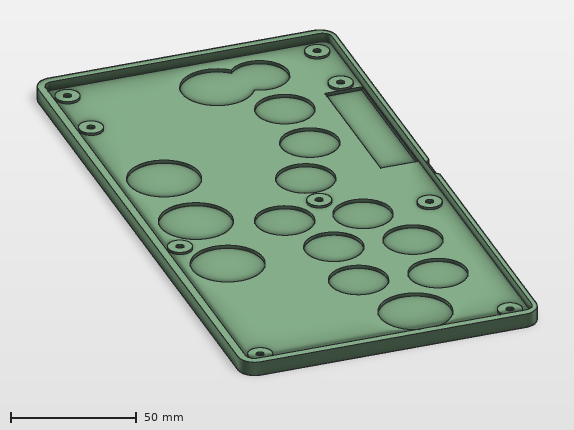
import cadquery as cq

LENGTH = 245.2
WIDTH = 126.5
HEIGHT = 6.1
CORNER_RADIUS = 7.0

WALL = 3.2
REAR_WALL = 2.0
FLOOR = 2.2

CAVITY_LENGTH = LENGTH - 2 * WALL
CAVITY_WIDTH = WIDTH - WALL - REAR_WALL
CAVITY_CENTER_Y = (WALL - REAR_WALL) / 2
CAVITY_RADIUS = CORNER_RADIUS - WALL

RECESS_DEPTH = 1.5

SMALL_BUTTON_DIAMETER = 24.0
LARGE_BUTTON_DIAMETER = 30.0

DIRECTION_ROW_Y = 25.7
SMALL_BUTTONS = [
    (-102.2, DIRECTION_ROW_Y),
    (-73.0, DIRECTION_ROW_Y),
    (-44.1, DIRECTION_ROW_Y),
    (-17.5, 14.2),
    (17.5, DIRECTION_ROW_Y),
    (44.0, 37.3),
    (72.8, 37.3),
    (11.8, -5.5),
    (38.5, 5.6),
    (67.2, 5.6),
]

THUMB_PITCH = 36.8
THUMB_ROW_Y = -38.7
LARGE_BUTTONS = [(-99.0, 6.5), (98.8, 18.1)]
LARGE_BUTTONS += [(step * THUMB_PITCH, THUMB_ROW_Y) for step in (-1, 0, 1)]

BOSS_DIAMETER = 10.0
BOSS_HEIGHT = 1.0
SCREW_HOLE_DIAMETER = 3.2
BOSS_COLUMNS_X = [-111.5, -84.3, 18.6, 111.5]
BOSS_ROW_OFFSET = 53.0
MIDDLE_BOSS = (2.2, 12.7)
BOSSES = [
    (x, CAVITY_CENTER_Y + side * BOSS_ROW_OFFSET)
    for x in BOSS_COLUMNS_X
    for side in (-1, 1)
]
BOSSES.append(MIDDLE_BOSS)

POCKET_LENGTH = 64.5
POCKET_WIDTH = 15.7
POCKET_CENTER = (-47.3, 53.0)

NOTCH_CENTER_X = -2.2
NOTCH_OUTER_LENGTH = 12.7
NOTCH_FLARE = REAR_WALL
NOTCH_DEPTH = REAR_WALL


def tray():
    """Shallow open tray with rounded vertical corners."""
    body = (
        cq.Workplane("XY")
        .box(LENGTH, WIDTH, HEIGHT, centered=(True, True, False))
        .edges("|Z")
        .fillet(CORNER_RADIUS)
    )
    cavity = (
        cq.Workplane("XY")
        .box(CAVITY_LENGTH, CAVITY_WIDTH, HEIGHT, centered=(True, True, False))
        .edges("|Z")
        .fillet(CAVITY_RADIUS)
        .translate((0, CAVITY_CENTER_Y, FLOOR))
    )
    return body.cut(cavity)


def discs(centers, diameter, bottom, height):
    """Upright cylinders of one size at the given centres."""
    return (
        cq.Workplane("XY", origin=(0, 0, bottom))
        .pushPoints(centers)
        .circle(diameter / 2)
        .extrude(height)
    )


def button_recess(centers, diameter):
    return discs(centers, diameter, FLOOR - RECESS_DEPTH, RECESS_DEPTH)


def board_pocket():
    return (
        cq.Workplane("XY", origin=(*POCKET_CENTER, FLOOR - RECESS_DEPTH))
        .rect(POCKET_LENGTH, POCKET_WIDTH)
        .extrude(RECESS_DEPTH)
    )


def cable_notch():
    """Flared cut that widens and falls from the inner top edge of the rear wall to its outer face."""
    inner_y = WIDTH / 2 - REAR_WALL
    outer_y = WIDTH / 2
    half_inner = NOTCH_OUTER_LENGTH / 2 - NOTCH_FLARE
    half_outer = NOTCH_OUTER_LENGTH / 2
    wedge = (
        cq.Workplane("YZ", origin=(NOTCH_CENTER_X, 0, 0))
        .moveTo(inner_y, HEIGHT)
        .lineTo(outer_y, HEIGHT)
        .lineTo(outer_y, HEIGHT - NOTCH_DEPTH)
        .close()
        .extrude(half_outer, both=True)
    )
    flare = (
        cq.Workplane("XY", origin=(NOTCH_CENTER_X, 0, 0))
        .moveTo(-half_inner, inner_y)
        .lineTo(half_inner, inner_y)
        .lineTo(half_outer, outer_y)
        .lineTo(-half_outer, outer_y)
        .close()
        .extrude(HEIGHT)
    )
    return wedge.intersect(flare)


result = (
    tray()
    .cut(button_recess(SMALL_BUTTONS, SMALL_BUTTON_DIAMETER))
    .cut(button_recess(LARGE_BUTTONS, LARGE_BUTTON_DIAMETER))
    .cut(board_pocket())
    .union(discs(BOSSES, BOSS_DIAMETER, FLOOR, BOSS_HEIGHT))
    .cut(discs(BOSSES, SCREW_HOLE_DIAMETER, 0, HEIGHT))
    .cut(cable_notch())
)